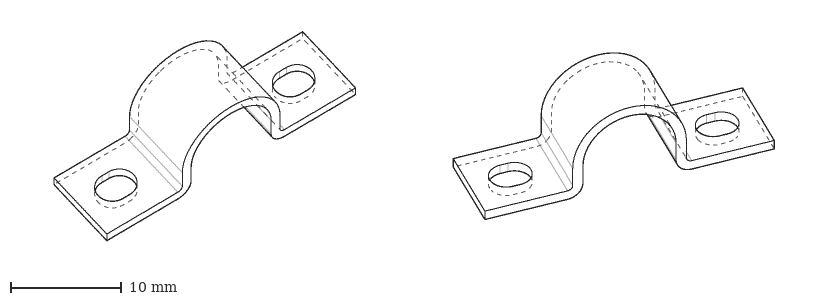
import cadquery as cq
import math

strap_width = 8.0
overall_length = 28.0
overall_height = 9.0
thickness = 1.0
saddle_inner_radius = 4.5
bend_inner_radius = 0.5
slot_width = 3.2
slot_length = 4.0
slot_spacing = 20.0

half_length = overall_length / 2
saddle_outer_radius = saddle_inner_radius + thickness
saddle_center_z = overall_height - saddle_outer_radius
bend_outer_radius = bend_inner_radius + thickness
bend_center_y = saddle_outer_radius + bend_inner_radius
bend_center_z = thickness + bend_inner_radius


def bend_midpoint(side, radius):
    """Middle of a foot-to-leg bend arc; side is -1 or +1 along Y."""
    offset = radius * math.cos(math.radians(45))
    return (side * (bend_center_y - offset), bend_center_z - offset)


def make_strap():
    """Bent sheet profile in the YZ plane, extruded symmetrically along X."""
    profile = (
        cq.Workplane("YZ")
        .moveTo(-half_length, 0)
        .lineTo(-bend_center_y, 0)
        .threePointArc(bend_midpoint(-1, bend_outer_radius), (-saddle_inner_radius, bend_center_z))
        .lineTo(-saddle_inner_radius, saddle_center_z)
        .threePointArc(
            (0, saddle_center_z + saddle_inner_radius), (saddle_inner_radius, saddle_center_z)
        )
        .lineTo(saddle_inner_radius, bend_center_z)
        .threePointArc(bend_midpoint(1, bend_outer_radius), (bend_center_y, 0))
        .lineTo(half_length, 0)
        .lineTo(half_length, thickness)
        .lineTo(bend_center_y, thickness)
        .threePointArc(bend_midpoint(1, bend_inner_radius), (saddle_outer_radius, bend_center_z))
        .lineTo(saddle_outer_radius, saddle_center_z)
        .threePointArc((0, overall_height), (-saddle_outer_radius, saddle_center_z))
        .lineTo(-saddle_outer_radius, bend_center_z)
        .threePointArc(bend_midpoint(-1, bend_inner_radius), (-bend_center_y, thickness))
        .lineTo(-half_length, thickness)
        .close()
    )
    return profile.extrude(strap_width / 2, both=True)


def make_slots():
    """Cutters for the round-ended mounting slots, one through each foot."""
    half_spacing = slot_spacing / 2
    return (
        cq.Workplane("XY")
        .pushPoints([(0, -half_spacing), (0, half_spacing)])
        .slot2D(slot_length, slot_width, angle=90)
        .extrude(thickness)
    )


result = make_strap().cut(make_slots())